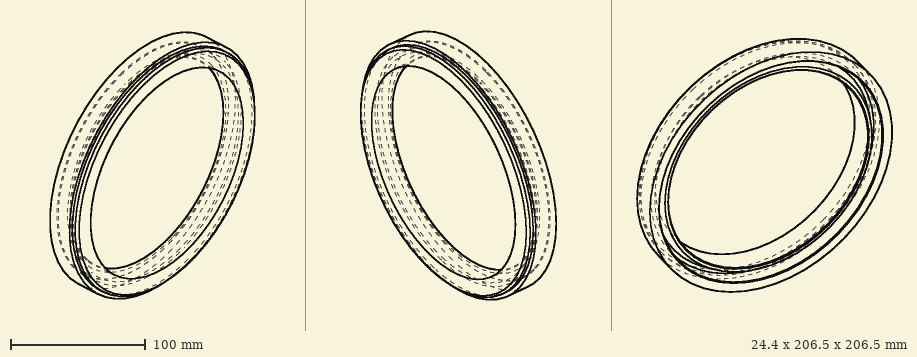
import cadquery as cq

outer_radius = 206.5 / 2
width = 24.4

register_radius = 200.0 / 2
register_length = 5.0
register_chamfer = 2.0
shoulder_x = width - register_length

recess_radius = 190 / 2
recess_depth = 13.2
taper_base_radius = 91.9

lip_radius = 88.2
lip_setback = 4.0
bore_radius = 170.0 / 2

edge_chamfer = 0.6

section = [
    (edge_chamfer, recess_radius),
    (0, recess_radius + edge_chamfer),
    (0, outer_radius),
    (shoulder_x, outer_radius),
    (shoulder_x, register_radius),
    (width - register_chamfer, register_radius),
    (width, register_radius - register_chamfer),
    (width, bore_radius),
    (lip_setback + edge_chamfer, bore_radius),
    (lip_setback, bore_radius + edge_chamfer),
    (lip_setback, lip_radius),
    (recess_depth, taper_base_radius),
    (recess_depth, recess_radius),
]

result = cq.Workplane("XY").polyline(section).close().revolve(360, (0, 0, 0), (1, 0, 0))